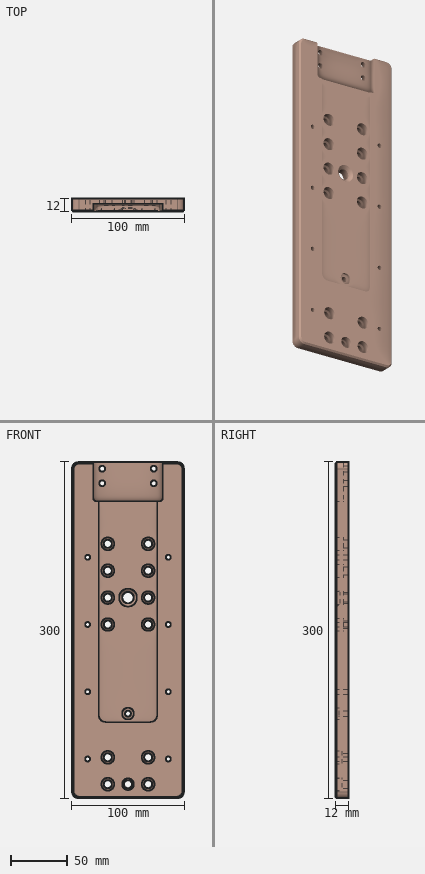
import cadquery as cq
import math

WIDTH = 100.0
THICKNESS = 12.0
HEIGHT = 300.0
CORNER_RADIUS = 6.0
FRONT_CHAMFER = 1.5

TOP_POCKET_WIDTH = 62.0
TOP_POCKET_HEIGHT = 35.0
TOP_POCKET_DEPTH = 7.0
TOP_POCKET_RADIUS = 3.0

LONG_POCKET_WIDTH = 52.0
LONG_POCKET_BOTTOM = 68.0
LONG_POCKET_DEPTH = 1.0
LONG_POCKET_RADIUS = 6.0

TOP_HOLE_DIAMETER = 5.04
TOP_HOLE_X = 23.0
TOP_HOLE_INSET = 6.0
TOP_HOLE_PITCH = 13.0
TOP_HOLE_ROWS = [HEIGHT - TOP_HOLE_INSET, HEIGHT - TOP_HOLE_INSET - TOP_HOLE_PITCH]

SIDE_HOLE_DIAMETER = 4.23
SIDE_HOLE_X = 36.0
SIDE_HOLE_FIRST_Z = 35.0
SIDE_HOLE_PITCH = 60.0
SIDE_HOLE_COUNT = 4
SIDE_HOLE_ROWS = [SIDE_HOLE_FIRST_Z + i * SIDE_HOLE_PITCH for i in range(SIDE_HOLE_COUNT)]

SCREW_DIAMETER = 7.0
SCREW_HEAD_DIAMETER = 11.5
SCREW_HEAD_DEPTH = 6.0
SCREW_X = 18.0
SCREW_PITCH = 24.0
FOOT_ROW_Z = 12.5
FOOT_ROW_COUNT = 2
POCKET_ROW_Z = 155.0
POCKET_ROW_COUNT = 4
FOOT_ROWS = [FOOT_ROW_Z + i * SCREW_PITCH for i in range(FOOT_ROW_COUNT)]
POCKET_ROWS = [POCKET_ROW_Z + i * SCREW_PITCH for i in range(POCKET_ROW_COUNT)]

CENTRE_HEAD_DIAMETER = 10.5
FOOT_CENTRE_HEAD_DEPTH = 6.0
LOCATING_DIAMETER = 5.04
LOCATING_HEAD_DEPTH = 2.0
LOCATING_Z = 75.5

BORE_DIAMETER = 10.0
BORE_SINK_DIAMETER = 16.0
BORE_SINK_ANGLE = 90.0
BORE_Z = POCKET_ROWS[1]


def face_at(depth):
    """Workplane parallel to the front face at a depth below it: local x is X, local y is Z."""
    return cq.Workplane("XZ", origin=(0, depth, 0))


def mirrored_points(x, rows):
    """Points at +x and -x on every row."""
    return [(side * x, z) for z in rows for side in (-1, 1)]


def make_plate():
    plate = cq.Workplane("XY").box(WIDTH, THICKNESS, HEIGHT, centered=(True, False, False))
    return plate.edges("|Y").fillet(CORNER_RADIUS).faces("<Y").chamfer(FRONT_CHAMFER)


def make_pocket(width, bottom, depth, radius):
    """Pocket cutter from the front face up through the top edge, with rounded lower corners."""
    cutter = cq.Workplane("XY", origin=(0, 0, bottom)).box(
        width, depth, HEIGHT - bottom, centered=(True, False, False)
    )
    return cutter.edges("|Y and <Z").fillet(radius)


def drill(plate, points, diameter):
    """Plain holes through the full thickness."""
    return plate.cut(face_at(0).pushPoints(points).circle(diameter / 2).extrude(-THICKNESS))


def counterbore(plate, points, diameter, head_diameter, head_depth, surface=0.0):
    """Through holes with flat-bottomed heads sunk head_depth below the given surface depth."""
    plate = drill(plate, points, diameter)
    heads = face_at(surface).pushPoints(points).circle(head_diameter / 2).extrude(-head_depth)
    return plate.cut(heads)


def add_pockets(plate):
    top_bottom = HEIGHT - TOP_POCKET_HEIGHT
    top = make_pocket(TOP_POCKET_WIDTH, top_bottom, TOP_POCKET_DEPTH, TOP_POCKET_RADIUS)
    lower = make_pocket(LONG_POCKET_WIDTH, LONG_POCKET_BOTTOM, LONG_POCKET_DEPTH, LONG_POCKET_RADIUS)
    return plate.cut(top).cut(lower)


def add_plain_holes(plate):
    plate = drill(plate, mirrored_points(TOP_HOLE_X, TOP_HOLE_ROWS), TOP_HOLE_DIAMETER)
    return drill(plate, mirrored_points(SIDE_HOLE_X, SIDE_HOLE_ROWS), SIDE_HOLE_DIAMETER)


def add_counterbored_holes(plate):
    foot_screws = mirrored_points(SCREW_X, FOOT_ROWS)
    pocket_screws = mirrored_points(SCREW_X, POCKET_ROWS)
    foot_point = [(0, FOOT_ROW_Z)]
    locating_point = [(0, LOCATING_Z)]
    plate = counterbore(plate, foot_screws, SCREW_DIAMETER, SCREW_HEAD_DIAMETER, SCREW_HEAD_DEPTH)
    plate = counterbore(
        plate, pocket_screws, SCREW_DIAMETER, SCREW_HEAD_DIAMETER, SCREW_HEAD_DEPTH, LONG_POCKET_DEPTH
    )
    plate = counterbore(plate, foot_point, SCREW_DIAMETER, CENTRE_HEAD_DIAMETER, FOOT_CENTRE_HEAD_DEPTH)
    return counterbore(
        plate, locating_point, LOCATING_DIAMETER, CENTRE_HEAD_DIAMETER, LOCATING_HEAD_DEPTH, LONG_POCKET_DEPTH
    )


def add_centre_bore(plate):
    """Through bore with a cone that opens to its full diameter on the shallow pocket floor."""
    plate = drill(plate, [(0, BORE_Z)], BORE_DIAMETER)
    sink_radius = BORE_SINK_DIAMETER / 2
    cone_height = sink_radius / math.tan(math.radians(BORE_SINK_ANGLE / 2))
    cone = cq.Solid.makeCone(
        sink_radius, 0, cone_height, pnt=cq.Vector(0, LONG_POCKET_DEPTH, BORE_Z), dir=cq.Vector(0, 1, 0)
    )
    return plate.cut(cq.Workplane(obj=cone))


result = make_plate()
result = add_pockets(result)
result = add_plain_holes(result)
result = add_counterbored_holes(result)
result = add_centre_bore(result)